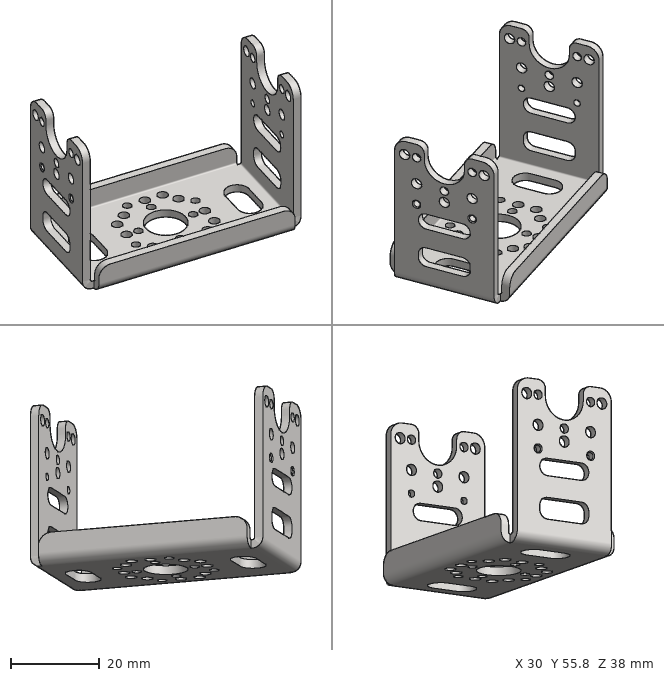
import cadquery as cq
import math

length = 55.8
width = 30.0
height = 38.0
thickness = 2.0
inner_bend = 0.4
outer_bend = thickness + inner_bend
floor_half_x = width / 2 - outer_bend
floor_half_y = length / 2 - outer_bend

wall_width = 25.0
wall_bend_width = 25.35
wall_taper_angle = 40.0
wall_outer_corner = 3.0
wall_inner_corner = 2.0

wall_slot_length = 13.0
wall_slot_corner = 2.0
upper_slot_z = 18.0
upper_slot_height = 2 * wall_slot_corner
lower_slot_z = 8.5
lower_slot_height = 5.0

flange_length = 50.1
flange_bend_length = 50.2
flange_taper_angle = 70.0
flange_height = 7.1
flange_corner = 3.0

bore_diameter = 10.05
clearance_diameter = 2.55
pilot_diameter = 2.1
outer_offset = 10.0
inner_offset = 7.0
side_offset = 4.5
notch_z = 34.45

small_hole_diameter = 1.6
small_hole_drop = 12.45

floor_slot_length = 12.0
floor_slot_width = 6.0
floor_slot_y = 19.8


def bent_sheet(plane, bend_start, sheet_top, run):
    """Quarter bend rising outward from bend_start, with the upright sheet above it."""
    diagonal = math.sqrt(0.5)
    axis_z = outer_bend

    def on_bend(radius):
        return bend_start + radius * diagonal, axis_z - radius * diagonal

    return (
        cq.Workplane(plane)
        .moveTo(bend_start, 0)
        .threePointArc(on_bend(outer_bend), (bend_start + outer_bend, axis_z))
        .lineTo(bend_start + outer_bend, sheet_top)
        .lineTo(bend_start + inner_bend, sheet_top)
        .lineTo(bend_start + inner_bend, axis_z)
        .threePointArc(on_bend(inner_bend), (bend_start, thickness))
        .close()
        .extrude(run / 2, both=True)
    )


def make_floor():
    """Flat sheet between the bends; the ends match the wider wall bends."""
    floor = cq.Workplane("XY").rect(2 * floor_half_x, 2 * floor_half_y).extrude(thickness)
    tab_length = floor_half_y - flange_bend_length / 2
    tab_y = floor_half_y - tab_length / 2
    tabs = (
        cq.Workplane("XY")
        .pushPoints([(0, -tab_y), (0, tab_y)])
        .box(wall_bend_width, tab_length, thickness, centered=(True, True, False))
    )
    return floor.union(tabs)


def tapered_bend(plane, bend_start, bend_run, sheet_run, taper_angle):
    """Bend that is wider than its sheet and narrows to it above the taper angle.

    The angle is measured at the bend axis, downward from the horizontal.
    """
    bend = bent_sheet(plane, bend_start, 2 * outer_bend, bend_run)
    zone = cq.Workplane("XY").box(length, length, outer_bend, centered=(True, True, False))
    bend = bend.intersect(zone)

    near_axis = inner_bend / 10
    slope = math.tan(math.radians(taper_angle))
    frame = cq.Plane.named(plane)
    for side in (-1, 1):
        sections = []
        for distance in (near_axis, outer_bend):
            out = bend_start + distance
            corners = [
                cq.Vector(out, outer_bend - distance * slope, side * bend_run / 2),
                cq.Vector(out, outer_bend, side * sheet_run / 2),
                cq.Vector(out, outer_bend, side * bend_run / 2),
            ]
            world_corners = [frame.toWorldCoords(corner) for corner in corners]
            sections.append(cq.Wire.makePolygon(world_corners, close=True))
        bend = bend.cut(cq.Workplane(cq.Solid.makeLoft(sections, True)))
    return bend


def make_side_flange():
    """Flange at +X with its bend and rounded upper corners."""
    flange = bent_sheet("XZ", floor_half_x, flange_height, flange_length)
    flange = flange.edges("|X and >Z").fillet(flange_corner)
    return flange.union(
        tapered_bend("XZ", floor_half_x, flange_bend_length, flange_length, flange_taper_angle)
    )


def wall_outline():
    """Upright outline of an end wall: rounded shoulders with a round-bottomed notch."""
    shoulders = (
        cq.Workplane("XZ")
        .center(0, height / 2)
        .rect(wall_width, height)
        .extrude(-length)
        .edges("|Y and >Z")
        .fillet(wall_outer_corner)
    )
    throat_height = 2 * (height - notch_z)
    throat = cq.Workplane("XZ").center(0, height).rect(bore_diameter, throat_height).extrude(-length)
    round_bottom = cq.Workplane("XZ").center(0, notch_z).circle(bore_diameter / 2).extrude(-length)

    bore_radius = bore_diameter / 2
    margin = wall_inner_corner / 2
    notch_mouth = cq.selectors.BoxSelector(
        (-bore_radius - margin, 0, height - margin), (bore_radius + margin, length, height + margin)
    )
    notched = shoulders.cut(throat).cut(round_bottom)
    return notched.edges("|Y").edges(notch_mouth).fillet(wall_inner_corner)


def wall_cutter(points, diameter):
    """Round cutters along +Y, with points measured from the notch centre."""
    return cq.Workplane("XZ").center(0, notch_z).pushPoints(points).circle(diameter / 2).extrude(-length)


def wall_slot(z, slot_height):
    """Rounded slot cutter along +Y."""
    profile = cq.Sketch().rect(wall_slot_length, slot_height).vertices().fillet(wall_slot_corner)
    return cq.Workplane("XZ").center(0, z).placeSketch(profile).extrude(-length)


def countersink(x, z):
    """45 degree cone on the outer wall face, from the pilot size down to the small hole."""
    depth = (pilot_diameter - small_hole_diameter) / 2
    cone = cq.Solid.makeCone(
        pilot_diameter / 2,
        small_hole_diameter / 2,
        depth,
        pnt=cq.Vector(x, length / 2, z),
        dir=cq.Vector(0, -1, 0),
    )
    return cq.Workplane(cone)


def make_end_wall():
    """Wall at +Y with its bend, notch, holes and slots."""
    wall = bent_sheet("YZ", floor_half_y, height, wall_width).intersect(wall_outline())
    wall = wall.union(tapered_bend("YZ", floor_half_y, wall_bend_width, wall_width, wall_taper_angle))

    clearance_points = [(0, -outer_offset)]
    pilot_points = [(0, -inner_offset)]
    small_points = []
    for side in (-1, 1):
        clearance_points += [(side * outer_offset, 0), (side * inner_offset, -inner_offset)]
        pilot_points.append((side * inner_offset, 0))
        small_points.append((side * inner_offset, -small_hole_drop))
    wall = wall.cut(wall_cutter(clearance_points, clearance_diameter))
    wall = wall.cut(wall_cutter(pilot_points, pilot_diameter))
    wall = wall.cut(wall_cutter(small_points, small_hole_diameter))
    for x, drop in small_points:
        wall = wall.cut(countersink(x, notch_z + drop))

    wall = wall.cut(wall_slot(upper_slot_z, upper_slot_height))
    return wall.cut(wall_slot(lower_slot_z, lower_slot_height))


def quarter_turns(points):
    """The given points repeated at every quarter turn about the origin."""
    turned = []
    for x, y in points:
        turned += [(x, y), (-y, x), (-x, -y), (y, -x)]
    return turned


def floor_cutter(points, diameter):
    """Round cutters through the floor."""
    return cq.Workplane("XY").pushPoints(points).circle(diameter / 2).extrude(thickness)


def cut_floor(part):
    """Bore, hole pattern and two slots through the floor."""
    clearance = [(outer_offset, 0), (inner_offset, inner_offset), (side_offset, outer_offset)]
    pilots = [(inner_offset, 0), (outer_offset, side_offset)]
    slots = (
        cq.Workplane("XY")
        .pushPoints([(0, -floor_slot_y), (0, floor_slot_y)])
        .slot2D(floor_slot_length, floor_slot_width)
        .extrude(thickness)
    )
    part = part.cut(floor_cutter([(0, 0)], bore_diameter))
    part = part.cut(floor_cutter(quarter_turns(clearance), clearance_diameter))
    part = part.cut(floor_cutter(quarter_turns(pilots), pilot_diameter))
    return part.cut(slots)


floor = cut_floor(make_floor())
flange = make_side_flange()
wall = make_end_wall()
result = floor.union(flange).union(flange.mirror("YZ")).union(wall).union(wall.mirror("XZ"))